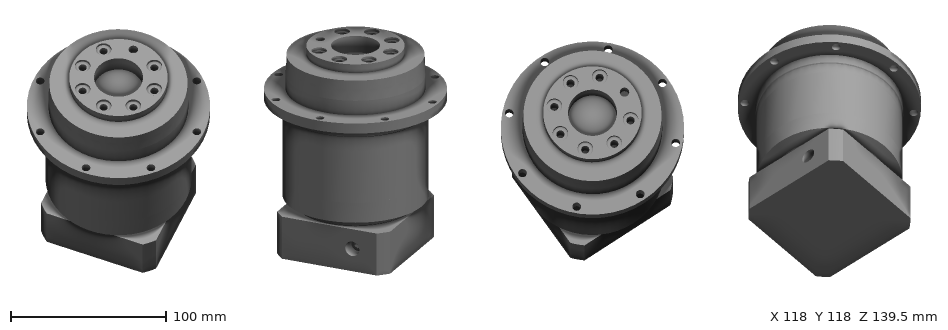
import cadquery as cq
import math

OVERALL_HEIGHT = 139.5

HUB_RADIUS = 31.7
HUB_BORE_RADIUS = 15.8
NOSE_TOP_RADIUS = 44.5
NOSE_RADIUS = 45.0
FLANGE_RADIUS = 59.0
PILOT_RADIUS = 47.5
BARREL_RADIUS = 47.0
NECK_RADIUS = 38.6
RELIEF_RADIUS = 38.2

HUB_HEIGHT = 6.0
TAPER_HEIGHT = 13.8
NOSE_HEIGHT = 10.0
FLANGE_THICKNESS = 7.0
PILOT_HEIGHT = 7.0
PILOT_CHAMFER = PILOT_RADIUS - BARREL_RADIUS
SPIGOT_HEIGHT = 8.4
RING_GEAR_HEIGHT = 38.1
ADAPTER_RIM_HEIGHT = 13.8
CONE_HEIGHT = 2.8
RELIEF_HEIGHT = 0.4
NECK_CHAMFER = NECK_RADIUS - RELIEF_RADIUS

HUB_BASE_Z = OVERALL_HEIGHT - HUB_HEIGHT
TAPER_BASE_Z = HUB_BASE_Z - TAPER_HEIGHT
FLANGE_TOP_Z = TAPER_BASE_Z - NOSE_HEIGHT
FLANGE_BASE_Z = FLANGE_TOP_Z - FLANGE_THICKNESS
PILOT_BASE_Z = FLANGE_BASE_Z - PILOT_HEIGHT
RING_GEAR_TOP_Z = PILOT_BASE_Z - SPIGOT_HEIGHT
RING_GEAR_BASE_Z = RING_GEAR_TOP_Z - RING_GEAR_HEIGHT
RIM_BASE_Z = RING_GEAR_BASE_Z - ADAPTER_RIM_HEIGHT
CONE_BASE_Z = RIM_BASE_Z - CONE_HEIGHT

HUB_BORE_DEPTH = 11.5
HUB_HOLE_COUNT = 8
HUB_BOLT_CIRCLE_RADIUS = 25.0
DOWEL_POSITION = 2
DOWEL_HOLE_RADIUS = 3.0
DOWEL_HOLE_DEPTH = 7.0
TAPPED_HOLE_RADIUS = 2.7
TAPPED_HOLE_DEPTH = 11.2
DRILL_POINT_ANGLE = 118.0
COUNTERBORE_RADIUS = 5.0
COUNTERBORE_DEPTH = 1.8

FLANGE_HOLE_COUNT = 8
FLANGE_HOLE_RADIUS = 2.8
FLANGE_BOLT_CIRCLE_RADIUS = 54.5

BLOCK_WIDTH = 80.1
BLOCK_HEIGHT = 29.3
BLOCK_CORNER_RADIUS = 52.2

SCREW_Y = -16.2
SCREW_Z = 15.6
ACCESS_HOLE_RADIUS = 5.0
HEAD_RECESS = 8.4
HEAD_RADIUS = 4.9
HEAD_HEIGHT = 6.0
HEAD_FILLET = 0.8
SOCKET_ACROSS_FLATS = 4.9
SOCKET_DEPTH = 3.0
SHANK_RADIUS = 3.0
SHANK_LENGTH = 12.0


def turned(profile):
    """Revolve a closed (radius, z) profile about the Z axis."""
    return cq.Workplane("XZ").polyline(profile).close().revolve(360, (0, 0), (0, 1))


def bolt_circle(radius, count):
    """Evenly spaced (x, y) points on a circle, the first on +X."""
    step = 2 * math.pi / count
    return [(radius * math.cos(i * step), radius * math.sin(i * step)) for i in range(count)]


def tapped_hole_tool():
    """Counterbore, drilled hole and drill point, with the hub face at z = 0."""
    point_depth = TAPPED_HOLE_RADIUS / math.tan(math.radians(DRILL_POINT_ANGLE / 2))
    return turned([
        (0, 0),
        (COUNTERBORE_RADIUS, 0),
        (COUNTERBORE_RADIUS, -COUNTERBORE_DEPTH),
        (TAPPED_HOLE_RADIUS, -COUNTERBORE_DEPTH),
        (TAPPED_HOLE_RADIUS, -TAPPED_HOLE_DEPTH),
        (0, -TAPPED_HOLE_DEPTH - point_depth),
    ])


def make_output_housing():
    """Output hub, tapered nose, mounting flange and pilot."""
    body = turned([
        (0, OVERALL_HEIGHT),
        (HUB_RADIUS, OVERALL_HEIGHT),
        (HUB_RADIUS, HUB_BASE_Z),
        (NOSE_TOP_RADIUS, HUB_BASE_Z),
        (NOSE_RADIUS, TAPER_BASE_Z),
        (NOSE_RADIUS, FLANGE_TOP_Z),
        (FLANGE_RADIUS, FLANGE_TOP_Z),
        (FLANGE_RADIUS, FLANGE_BASE_Z),
        (PILOT_RADIUS, FLANGE_BASE_Z),
        (PILOT_RADIUS, PILOT_BASE_Z),
        (BARREL_RADIUS, PILOT_BASE_Z - PILOT_CHAMFER),
        (BARREL_RADIUS, RING_GEAR_TOP_Z),
        (0, RING_GEAR_TOP_Z),
    ])
    hub_face = cq.Workplane(origin=(0, 0, OVERALL_HEIGHT))
    body = body.cut(hub_face.circle(HUB_BORE_RADIUS).extrude(-HUB_BORE_DEPTH))

    tapped_points = bolt_circle(HUB_BOLT_CIRCLE_RADIUS, HUB_HOLE_COUNT)
    dowel_point = tapped_points.pop(DOWEL_POSITION)
    dowel_hole = hub_face.pushPoints([dowel_point]).circle(DOWEL_HOLE_RADIUS)
    body = body.cut(dowel_hole.extrude(-DOWEL_HOLE_DEPTH))
    for x, y in tapped_points:
        body = body.cut(tapped_hole_tool().translate((x, y, OVERALL_HEIGHT)))

    flange_points = bolt_circle(FLANGE_BOLT_CIRCLE_RADIUS, FLANGE_HOLE_COUNT)
    flange_top = cq.Workplane(origin=(0, 0, FLANGE_TOP_Z))
    flange_holes = flange_top.pushPoints(flange_points).circle(FLANGE_HOLE_RADIUS)
    return body.cut(flange_holes.extrude(-FLANGE_THICKNESS))


def make_ring_gear():
    """Plain cylindrical middle section."""
    base = cq.Workplane(origin=(0, 0, RING_GEAR_BASE_Z))
    return base.circle(BARREL_RADIUS).extrude(RING_GEAR_HEIGHT)


def screw_cylinder(radius, start, length):
    """Cylinder on the clamp screw axis, starting at a depth below the block's -X face."""
    face = cq.Workplane("YZ", origin=(start - BLOCK_WIDTH / 2, SCREW_Y, SCREW_Z))
    return face.circle(radius).extrude(length)


def make_motor_adapter():
    """Turned rim, cone and neck on a square block with a hole for the clamp screw."""
    block = cq.Workplane().rect(BLOCK_WIDTH, BLOCK_WIDTH).extrude(BLOCK_HEIGHT)
    block = block.intersect(cq.Workplane().circle(BLOCK_CORNER_RADIUS).extrude(BLOCK_HEIGHT))
    top = turned([
        (0, RING_GEAR_BASE_Z),
        (BARREL_RADIUS, RING_GEAR_BASE_Z),
        (BARREL_RADIUS, RIM_BASE_Z),
        (NECK_RADIUS, CONE_BASE_Z),
        (NECK_RADIUS, BLOCK_HEIGHT + RELIEF_HEIGHT + NECK_CHAMFER),
        (RELIEF_RADIUS, BLOCK_HEIGHT + RELIEF_HEIGHT),
        (RELIEF_RADIUS, BLOCK_HEIGHT),
        (0, BLOCK_HEIGHT),
    ])
    seat_depth = HEAD_RECESS + HEAD_HEIGHT
    adapter = block.union(top)
    adapter = adapter.cut(screw_cylinder(ACCESS_HOLE_RADIUS, 0, seat_depth))
    return adapter.cut(screw_cylinder(SHANK_RADIUS, seat_depth, SHANK_LENGTH))


def make_clamp_screw():
    """Socket head cap screw lying along X, its head facing -X."""
    head = screw_cylinder(HEAD_RADIUS, HEAD_RECESS, HEAD_HEIGHT)
    head = head.faces("<X").edges().fillet(HEAD_FILLET)
    socket_diameter = SOCKET_ACROSS_FLATS / math.cos(math.pi / 6)
    head_face = cq.Workplane("YZ", origin=(HEAD_RECESS - BLOCK_WIDTH / 2, SCREW_Y, SCREW_Z))
    socket = head_face.transformed(rotate=(0, 0, 90)).polygon(6, socket_diameter)
    shank = screw_cylinder(SHANK_RADIUS, HEAD_RECESS + HEAD_HEIGHT, SHANK_LENGTH)
    return head.cut(socket.extrude(SOCKET_DEPTH)).union(shank)


output_housing = make_output_housing()
ring_gear = make_ring_gear()
motor_adapter = make_motor_adapter()
clamp_screw = make_clamp_screw()

result = cq.Compound.makeCompound([
    output_housing.val(),
    ring_gear.val(),
    motor_adapter.val(),
    clamp_screw.val(),
])